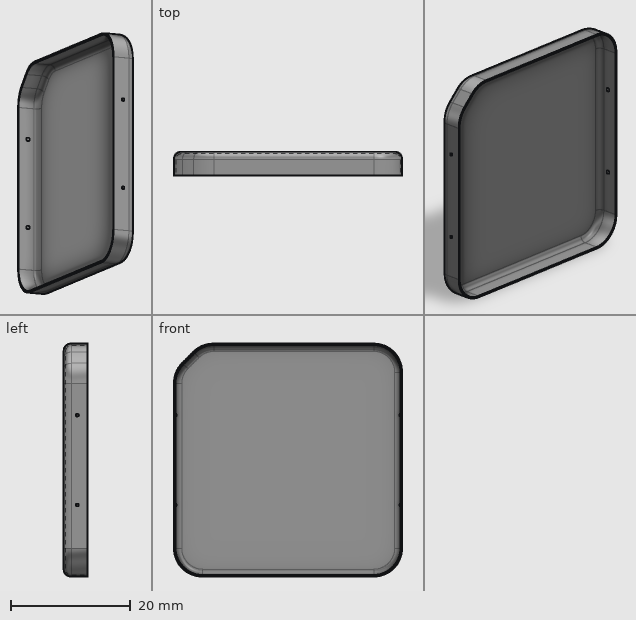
import cadquery as cq
import math

width = 38.2
depth = 4.0
height = 39.0

wall = 0.3
corner_radius = 4.8
cut_corner_leg = 4.68
outer_edge_radius = 1.3
inner_edge_radius = outer_edge_radius - wall

dimple_spacing = 15.0
dimple_from_rim = 1.7
hollow_radius = 0.25
hollow_height = 0.15
bump_radius = 0.3
bump_height = 0.15

front_y = -depth / 2


def sharp_block():
    """Solid block with one cut corner, rounded corners and a sharp back edge."""
    left, right = -width / 2, width / 2
    bottom, top = -height / 2, height / 2
    outline = [
        (left, bottom),
        (right, bottom),
        (right, top),
        (left + cut_corner_leg, top),
        (left, top - cut_corner_leg),
    ]
    return (
        cq.Workplane("XZ", origin=(0, front_y, 0))
        .polyline(outline)
        .close()
        .extrude(-depth)
        .edges("|Y")
        .fillet(corner_radius)
    )


def tray():
    """Outer body less a cavity that follows it at one wall thickness."""
    block = sharp_block()
    rim = block.faces("<Y").wires()
    cavity = (
        rim.toPending()
        .offset2D(-wall)
        .extrude(-(depth - wall), combine=False)
        .faces(">Y")
        .edges()
        .fillet(inner_edge_radius)
    )
    body = block.faces(">Y").edges().fillet(outer_edge_radius)
    return body.cut(cavity)


def dimple_cap(wall_x, z, side, rim_radius, cap_height):
    """Spherical cap standing on the plane at wall_x and pointing into the tray."""
    sphere_radius = (rim_radius**2 + cap_height**2) / (2 * cap_height)
    center_to_mid = sphere_radius - cap_height / 2
    mid_radius = math.sqrt(sphere_radius**2 - center_to_mid**2)
    return (
        cq.Workplane("XY", origin=(wall_x, front_y + dimple_from_rim, z))
        .lineTo(0, rim_radius)
        .threePointArc((-side * cap_height / 2, mid_radius), (-side * cap_height, 0))
        .close()
        .revolve(360, (0, 0, 0), (1, 0, 0))
    )


def add_dimple(body, side, z):
    """Raise one bump inside the wall and press a smaller hollow outside."""
    outer_x = side * width / 2
    inner_x = side * (width / 2 - wall)
    bump = dimple_cap(inner_x, z, side, bump_radius, bump_height)
    hollow = dimple_cap(outer_x, z, side, hollow_radius, hollow_height)
    return body.union(bump).cut(hollow)


result = tray()
for side in (-1, 1):
    for z in (-dimple_spacing / 2, dimple_spacing / 2):
        result = add_dimple(result, side, z)
result = result.solids()